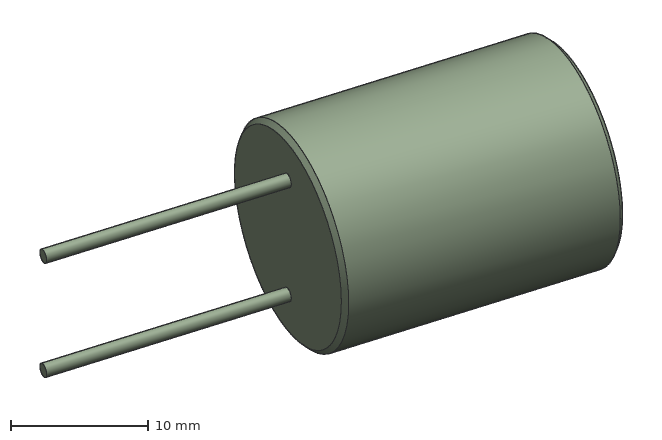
import cadquery as cq

body_diameter = 18.0
body_length = 23.0
edge_chamfer = 0.4

lead_diameter = 1.1
lead_length = 20.0
lead_spacing = 10.5


def make_body():
    """Can from the lead face at Y = 0 to the far end, with both rims chamfered."""
    lead_face = cq.Workplane("XZ")
    can = lead_face.circle(body_diameter / 2).extrude(-body_length)
    return can.faces("<Y or >Y").edges().chamfer(edge_chamfer)


def make_leads():
    """Pair of round leads leaving the Y = 0 face toward -Y, spaced along Z."""
    lead_centers = [(0, side * lead_spacing / 2) for side in (-1, 1)]
    lead_face = cq.Workplane("XZ").pushPoints(lead_centers)
    return lead_face.circle(lead_diameter / 2).extrude(lead_length)


result = make_body().union(make_leads())